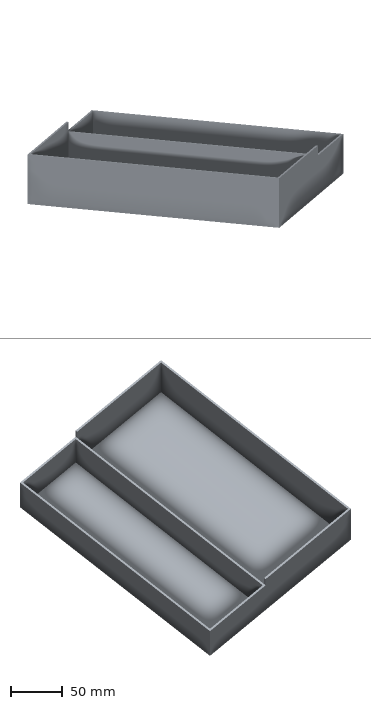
import cadquery as cq

length = 256.0
width = 195.0
front_height = 50.0
rear_height = 40.0

wall = 2.0
floor = 2.0

front_depth = 118.0
rear_depth = width - front_depth
inner_length = length - 2 * wall


def block(size_x, size_y, size_z, front_y, bottom_z):
    """Box centred on X, starting at the given front face and bottom face."""
    return (
        cq.Workplane("XY")
        .box(size_x, size_y, size_z, centered=(True, False, False))
        .translate((0, front_y, bottom_z))
    )


front_body = block(length, front_depth, front_height, 0, 0)
rear_body = block(length, rear_depth, rear_height, front_depth, 0)
body = front_body.union(rear_body)

front_pocket = block(inner_length, front_depth - wall, front_height - floor, wall, floor)
rear_pocket = block(
    inner_length, rear_depth - 2 * wall, rear_height - floor, front_depth + wall, floor
)

result = body.cut(front_pocket).cut(rear_pocket)